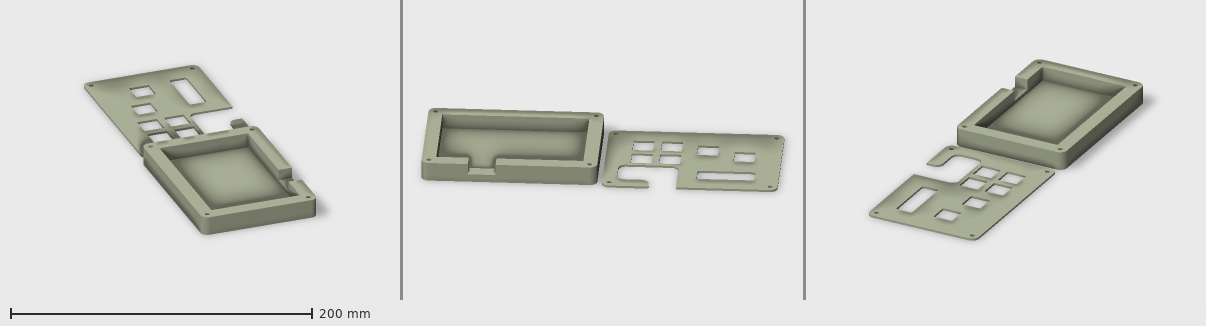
import cadquery as cq

length = 116.8
width = 81.7
corner_radius = 5.0
screw_hole_diameter = 3.3

plate_thickness = 1.5
case_height = 13.0
overall_length = 237
overall_width = 84.5
case_x = overall_length - length
plate_y = overall_width - width

notch_x = 67.3
notch_width = 18.5

wall = 9.5
pocket_depth = 10.2
notch_depth = 7.5

cutout_width = 40.0
tongue_width = 10.0
cutout_radius = 5.0
cutout_depth = 31.5
cutout_front_y = width - cutout_depth

window_length = 38.5
window_width = 12.0
window_radius = 1.5
window_x = 15.9
window_back_margin = 13.5
window_y = width - window_back_margin - window_width

key_size = 14.0
key_pitch = 19.0
key_grid_x = 73.7
key_grid_y = 21.3
thumb_keys = [(24.6, 33.9), (49.5, 25.8)]


def block(x, y, z, x_size, y_size, z_size):
    """Box with its lowest corner at (x, y, z)."""
    return cq.Workplane().box(x_size, y_size, z_size, centered=False).translate((x, y, z))


def rounded_slab(height):
    """Footprint with rounded corners and a screw hole on each corner centre."""
    slab = block(0, 0, 0, length, width, height).edges("|Z").fillet(corner_radius)
    hole_centres = [
        (x, y)
        for x in (corner_radius, length - corner_radius)
        for y in (corner_radius, width - corner_radius)
    ]
    holes = cq.Workplane().pushPoints(hole_centres).circle(screw_hole_diameter / 2).extrude(height)
    return slab.cut(holes)


def edge_cutout():
    """L-shaped cutter, rounded everywhere except where its mouth meets the back edge."""
    right = notch_x + cutout_width
    mouth_right = notch_x + notch_width
    tongue_y = width - tongue_width
    cutter = (
        cq.Workplane()
        .moveTo(notch_x, width)
        .lineTo(notch_x, cutout_front_y)
        .lineTo(right, cutout_front_y)
        .lineTo(right, tongue_y)
        .lineTo(mouth_right, tongue_y)
        .lineTo(mouth_right, width)
        .close()
        .extrude(plate_thickness)
    )
    return cutter.edges("|Z").edges("not >Y").fillet(cutout_radius)


def display_window():
    window = block(window_x, window_y, 0, window_length, window_width, plate_thickness)
    return window.edges("|Z").fillet(window_radius)


def key_openings():
    """Two thumb keys and a 2 x 2 grid of keys."""
    grid_keys = [
        (key_grid_x + column * key_pitch, key_grid_y + row * key_pitch)
        for column in range(2)
        for row in range(2)
    ]
    centres = thumb_keys + grid_keys
    return cq.Workplane().pushPoints(centres).rect(key_size, key_size).extrude(plate_thickness)


def make_cover_plate():
    plate = rounded_slab(plate_thickness)
    plate = plate.cut(edge_cutout()).cut(display_window()).cut(key_openings())
    return plate.translate((0, plate_y, 0))


def make_case():
    pocket = block(
        wall, wall, case_height - pocket_depth,
        length - 2 * wall, width - 2 * wall, pocket_depth,
    )
    cable_notch = block(
        notch_x, width - wall, case_height - notch_depth,
        notch_width, wall, notch_depth,
    )
    case = rounded_slab(case_height).cut(pocket).cut(cable_notch)
    return case.translate((case_x, 0, 0))


cover_plate = make_cover_plate()
case = make_case()

result = cq.Compound.makeCompound([cover_plate.val(), case.val()])